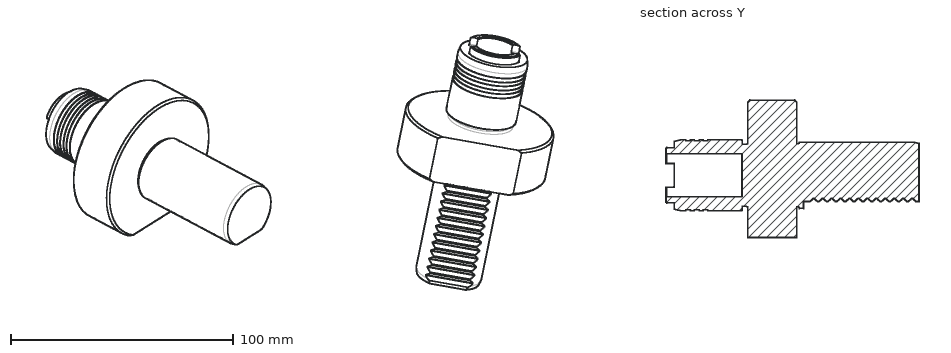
import cadquery as cq
import math

overall_length = 114.0
lug_length = 3.8
nose_taper_end = 6.5
body_end = 34.4
flange_start = 36.8
flange_end = 58.9
shank_start = 60.0

body_diameter = 32.0
nose_diameter = 30.8
body_chamfer = 0.2
groove_diameter = 31.4
groove_width = 2.0
groove_pitch = 3.9
groove_count = 3
first_groove = 9.0

neck_diameter = 28.0
neck_fillet = 0.9

flange_diameter = 68.0
flange_chamfer = 1.0
flange_flat_depth = 28.0

shank_diameter = 30.0
shank_relief_diameter = 28.5
shank_relief_fillet = (shank_diameter - shank_relief_diameter) / 2
shank_end_chamfer_length = 2.2
shank_end_chamfer_depth = 0.6
rack_start = 62.0
rack_flat_depth = 11.9
rack_tooth_height = 1.5
rack_root_depth = rack_flat_depth - rack_tooth_height
rack_groove_width = 3.4
rack_root_width = 0.2
rack_groove_count = 12
first_rack_root = 66.6
last_rack_root = 110.8
rack_pitch = (last_rack_root - first_rack_root) / (rack_groove_count - 1)

lug_diameter = 25.1
lug_chamfer = 0.5
lug_gap = 10.6
lug_root_fillet = 0.5
bore_diameter = 19.0
bore_end = 34.2


def revolved(points):
    """Revolve an (x, radius) outline around the X axis."""
    return cq.Workplane("XY").polyline(points).close().revolve(360, (0, 0, 0), (1, 0, 0))


def cylinder(diameter, start, end):
    return cq.Workplane("YZ", origin=(start, 0, 0)).circle(diameter / 2).extrude(end - start)


def make_body():
    radius = body_diameter / 2
    body = revolved([
        (lug_length, 0),
        (lug_length, nose_diameter / 2),
        (nose_taper_end, radius),
        (body_end - body_chamfer, radius),
        (body_end, radius - body_chamfer),
        (body_end, 0),
    ])
    for index in range(groove_count):
        start = first_groove + index * groove_pitch
        end = start + groove_width
        ring = cylinder(flange_diameter, start, end).cut(cylinder(groove_diameter, start, end))
        body = body.cut(ring)
    return body


def concave_neck(start, end, radius, fillet):
    """Neck along X that flares through a quarter arc at its far end."""
    arc_offset = fillet * (1 - math.sqrt(0.5))
    return (
        cq.Workplane("XY")
        .moveTo(start, 0)
        .lineTo(start, radius)
        .lineTo(end - fillet, radius)
        .threePointArc((end - arc_offset, radius + arc_offset), (end, radius + fillet))
        .lineTo(end, 0)
        .close()
        .revolve(360, (0, 0, 0), (1, 0, 0))
    )


def make_flange():
    flange = cylinder(flange_diameter, flange_start, flange_end).edges().chamfer(flange_chamfer)
    below_flat = cq.Workplane("XY").box(
        overall_length, flange_diameter, flange_diameter, centered=(False, True, False)
    ).translate((0, 0, -flange_flat_depth - flange_diameter))
    return flange.cut(below_flat)


def make_shank():
    radius = shank_diameter / 2
    relief = concave_neck(flange_end, shank_start, shank_relief_diameter / 2, shank_relief_fillet)
    barrel = revolved([
        (shank_start, 0),
        (shank_start, radius),
        (overall_length - shank_end_chamfer_length, radius),
        (overall_length, radius - shank_end_chamfer_depth),
        (overall_length, 0),
    ])
    return barrel.union(relief)


def make_rack_cut():
    """Flat under the shank, with V grooves across it at a steady pitch."""
    cut = cq.Workplane("XY").box(
        overall_length, shank_diameter, shank_diameter, centered=(False, True, False)
    ).translate((rack_start, 0, -rack_flat_depth - shank_diameter))
    half_root = rack_root_width / 2
    half_mouth = rack_groove_width / 2
    for index in range(rack_groove_count):
        center = first_rack_root + index * rack_pitch
        groove = (
            cq.Workplane("XZ")
            .polyline([
                (center - half_mouth, -rack_flat_depth),
                (center - half_root, -rack_root_depth),
                (center + half_root, -rack_root_depth),
                (center + half_mouth, -rack_flat_depth),
            ])
            .close()
            .extrude(shank_diameter / 2, both=True)
        )
        cut = cut.union(groove)
    return cut


def make_lugs():
    """Chamfered ring split by a flat-sided gap whose floor corners are rounded."""
    ring = cylinder(lug_diameter, 0, lug_length).cut(cylinder(bore_diameter, 0, lug_length))
    ring = ring.faces("<X").edges().chamfer(lug_chamfer)
    gap = (
        cq.Workplane("XY")
        .box(lug_length, lug_diameter, lug_gap, centered=(False, True, True))
        .faces(">X")
        .edges("|Y")
        .fillet(lug_root_fillet)
    )
    return ring.cut(gap)


result = (
    make_flange()
    .union(make_body())
    .union(concave_neck(body_end, flange_start, neck_diameter / 2, neck_fillet))
    .union(make_shank().cut(make_rack_cut()))
    .union(make_lugs())
    .cut(cylinder(bore_diameter, lug_length, bore_end))
)